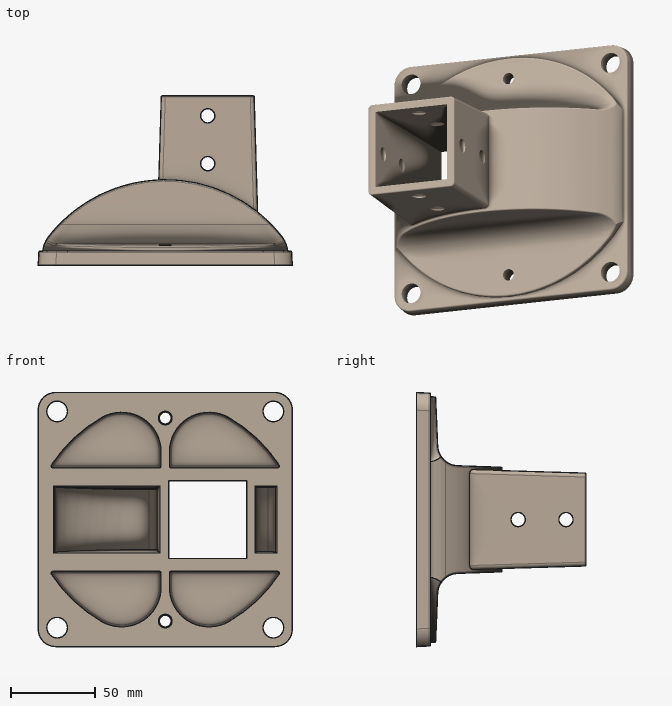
import cadquery as cq
import math

PLATE_SIZE = 150.0
PLATE_THICKNESS = 8.4
PLATE_CORNER_RADIUS = 10.5
PLATE_DRAFT = 3.0
PLATE_EDGE_RADIUS = 0.9
SCREW_HOLE_DIAMETER = 12.0
SCREW_HOLE_OFFSET = 63.8
PIN_HOLE_DIAMETER = 8.1
PIN_HOLE_DRAFT = 3.0
PIN_HOLE_OFFSET = 59.8

PAD_HALF_SIZE = 72.5
PAD_EDGE_HEIGHT = 11.4
PAD_SLOPE = 2.4
DOME_HEIGHT = 50.5
DOME_RADIUS = 87.3
DOME_HALF_WIDTH = 30.9
DOME_DRAFT = 2.0
DOME_ROOT_RADIUS = 12.0
DOME_END_RADIUS = 18.0
BODY_EDGE_RADIUS = 0.9

TUBE_CENTER_X = 25.0
TUBE_END = 100.0
TUBE_END_SIZE = 54.9
TUBE_DRAFT = 1.7
TUBE_CORNER_RADIUS = 2.4
TUBE_END_EDGE_RADIUS = 0.8
TUBE_BORE_SIZE = 45.8
CROSS_HOLE_DIAMETER = 8.2
CROSS_HOLE_POSITIONS = (60.0, 88.2)

HOLLOW_HALF_WIDTH = 19.8
HOLLOW_END_X = 65.8
LEFT_HOLLOW_INNER_X = -3.0
RIGHT_HOLLOW_INNER_X = 52.8
HOLLOW_DRAFT = 2.7
HOLLOW_FLOOR_RADIUS = 4.0
DOME_SHELL = 3.8

POCKET_DEPTH = 6.3
POCKET_INNER_X = 2.4
POCKET_BASE_Z = 30.5
POCKET_LOBE_RADIUS = 23.4
POCKET_LOBE_Z = 39.9
POCKET_SWEEP_RADIUS = 88.5
POCKET_SWEEP_ANGLE = 60.0
POCKET_DRAFT = 3.0
POCKET_CORNER_RADIUS = 1.2
POCKET_FLOOR_RADIUS = 0.9

DOME_AXIS_Y = DOME_HEIGHT - DOME_RADIUS


def polar(center, radius, degrees):
    """Point at the given radius and angle around a centre."""
    angle = math.radians(degrees)
    return center[0] + radius * math.cos(angle), center[1] + radius * math.sin(angle)


def facing_back(x=0.0):
    """Work plane on the front face, extruding to +Y; local axes are -X and Z."""
    return cq.Workplane(cq.Plane(origin=(x, 0, 0), xDir=(-1, 0, 0), normal=(0, 1, 0)))


def dome_cylinder(radius):
    """Solid cylinder along Z whose upper side is the dome arch."""
    return (cq.Workplane("XY", origin=(0, DOME_AXIS_Y, -PLATE_SIZE / 2))
            .circle(radius).extrude(PLATE_SIZE))


def make_plate():
    return (facing_back().rect(PLATE_SIZE, PLATE_SIZE)
            .extrude(PLATE_THICKNESS, taper=PLATE_DRAFT)
            .edges("(not #Y) and (not |X) and (not |Z)").fillet(PLATE_CORNER_RADIUS)
            .faces(">Y").edges().fillet(PLATE_EDGE_RADIUS))


def make_body():
    """Pad and dome: a swept cross-section trimmed by the arch and by the pad outline."""
    wall_slope = math.tan(math.radians(DOME_DRAFT))
    pad_slope = math.tan(math.radians(PAD_SLOPE))
    pad_height_at_center = PAD_EDGE_HEIGHT + PAD_HALF_SIZE * pad_slope
    root_z = ((DOME_HALF_WIDTH + wall_slope * (DOME_HEIGHT - pad_height_at_center))
              / (1 - wall_slope * pad_slope))
    root_y = pad_height_at_center - root_z * pad_slope
    half_section = [(0, PAD_HALF_SIZE), (PAD_EDGE_HEIGHT, PAD_HALF_SIZE), (root_y, root_z),
                    (DOME_HEIGHT, DOME_HALF_WIDTH)]
    section = half_section + [(y, -z) for y, z in reversed(half_section)]
    swept = (cq.Workplane("YZ", origin=(-PLATE_SIZE / 2, 0, 0)).polyline(section).close()
             .extrude(PLATE_SIZE))
    for side in (1, -1):
        swept = (swept.edges(cq.selectors.NearestToPointSelector((0, root_y, side * root_z)))
                 .fillet(DOME_ROOT_RADIUS))

    rim_end_z = PAD_HALF_SIZE - DOME_RADIUS + math.sqrt(DOME_RADIUS ** 2 - PAD_HALF_SIZE ** 2)
    outline = (facing_back().moveTo(-PAD_HALF_SIZE, rim_end_z)
               .threePointArc((0, PAD_HALF_SIZE), (PAD_HALF_SIZE, rim_end_z))
               .lineTo(PAD_HALF_SIZE, -rim_end_z)
               .threePointArc((0, -PAD_HALF_SIZE), (-PAD_HALF_SIZE, -rim_end_z))
               .close().extrude(DOME_HEIGHT))

    arch = (cq.Workplane("XY", origin=(0, 0, -PLATE_SIZE / 2))
            .rect(2 * PAD_HALF_SIZE, 2 * DOME_HEIGHT).extrude(PLATE_SIZE)
            .intersect(dome_cylinder(DOME_RADIUS)))
    end_y = DOME_AXIS_Y + math.sqrt(DOME_RADIUS ** 2 - PAD_HALF_SIZE ** 2)
    for end_x in (-PAD_HALF_SIZE, PAD_HALF_SIZE):
        arch = (arch.edges(cq.selectors.NearestToPointSelector((end_x, end_y, 0)))
                .fillet(DOME_END_RADIUS))

    body = swept.intersect(arch).intersect(outline)
    return body.edges("%ELLIPSE").fillet(BODY_EDGE_RADIUS)


def make_tube():
    """Drafted square tube, running from the front face to its open end."""
    base_size = TUBE_END_SIZE + 2 * TUBE_END * math.tan(math.radians(TUBE_DRAFT))
    return (facing_back(x=TUBE_CENTER_X).rect(base_size, base_size)
            .extrude(TUBE_END, taper=TUBE_DRAFT)
            .edges("(not #Y) and (not |X) and (not |Z)").fillet(TUBE_CORNER_RADIUS)
            .faces(">Y").edges().fillet(TUBE_END_EDGE_RADIUS))


def make_hollow(left_x, right_x, socket_x):
    """Drafted hollow under the dome, rounded where its floor meets the wall at socket_x."""
    hollow = (facing_back(x=(left_x + right_x) / 2)
              .rect(right_x - left_x, 2 * HOLLOW_HALF_WIDTH)
              .extrude(DOME_HEIGHT, taper=HOLLOW_DRAFT)
              .intersect(dome_cylinder(DOME_RADIUS - DOME_SHELL)))
    floor_y = DOME_AXIS_Y + math.sqrt((DOME_RADIUS - DOME_SHELL) ** 2 - socket_x ** 2)
    return (hollow.edges(cq.selectors.NearestToPointSelector((socket_x, floor_y, 0)))
            .fillet(HOLLOW_FLOOR_RADIUS))


def make_pocket():
    """Fin-shaped pocket in the +X, +Z quarter: a round lobe running out along a wide arc."""
    lobe = (POCKET_INNER_X + POCKET_LOBE_RADIUS, POCKET_LOBE_Z)
    sweep = polar(lobe, POCKET_LOBE_RADIUS - POCKET_SWEEP_RADIUS, POCKET_SWEEP_ANGLE)
    tip_angle = math.degrees(math.asin((POCKET_BASE_Z - sweep[1]) / POCKET_SWEEP_RADIUS))
    tip = polar(sweep, POCKET_SWEEP_RADIUS, tip_angle)
    lobe_middle = polar(lobe, POCKET_LOBE_RADIUS, (180 + POCKET_SWEEP_ANGLE) / 2)
    lobe_end = polar(lobe, POCKET_LOBE_RADIUS, POCKET_SWEEP_ANGLE)
    sweep_middle = polar(sweep, POCKET_SWEEP_RADIUS, (POCKET_SWEEP_ANGLE + tip_angle) / 2)
    outline = (cq.Workplane("XZ").moveTo(POCKET_INNER_X, POCKET_BASE_Z)
               .lineTo(POCKET_INNER_X, POCKET_LOBE_Z)
               .threePointArc(lobe_middle, lobe_end)
               .threePointArc(sweep_middle, tip)
               .close())
    pocket = outline.extrude(-POCKET_DEPTH, taper=POCKET_DRAFT)
    for corner in ((POCKET_INNER_X, POCKET_BASE_Z), tip):
        corner_point = (corner[0], POCKET_DEPTH / 2, corner[1])
        pocket = (pocket.edges("not #Y").edges(cq.selectors.NearestToPointSelector(corner_point))
                  .fillet(POCKET_CORNER_RADIUS))
    return pocket.faces(">Y").edges().fillet(POCKET_FLOOR_RADIUS)


def make_flange_holes():
    """Four straight screw holes at the corners and two drafted pin holes on the Z axis."""
    screw_holes = (facing_back()
                   .rect(2 * SCREW_HOLE_OFFSET, 2 * SCREW_HOLE_OFFSET, forConstruction=True)
                   .vertices().circle(SCREW_HOLE_DIAMETER / 2).extrude(TUBE_END))
    pin_holes = (facing_back().pushPoints([(0, PIN_HOLE_OFFSET), (0, -PIN_HOLE_OFFSET)])
                 .circle(PIN_HOLE_DIAMETER / 2).extrude(DOME_HEIGHT / 2, taper=PIN_HOLE_DRAFT))
    return screw_holes.union(pin_holes)


def make_socket():
    """Square bore through the whole part and the cross holes that pierce the tube both ways."""
    socket = facing_back(x=TUBE_CENTER_X).rect(TUBE_BORE_SIZE, TUBE_BORE_SIZE).extrude(TUBE_END)
    for y in CROSS_HOLE_POSITIONS:
        for plane in ("XY", "YZ"):
            cross_hole = (cq.Workplane(plane, origin=(TUBE_CENTER_X, y, 0))
                          .circle(CROSS_HOLE_DIAMETER / 2).extrude(TUBE_END_SIZE, both=True))
            socket = socket.union(cross_hole)
    return socket


result = make_plate().union(make_body()).union(make_tube())
result = result.cut(make_flange_holes()).cut(make_socket())
result = result.cut(make_hollow(-HOLLOW_END_X, LEFT_HOLLOW_INNER_X, LEFT_HOLLOW_INNER_X))
result = result.cut(make_hollow(RIGHT_HOLLOW_INNER_X, HOLLOW_END_X, RIGHT_HOLLOW_INNER_X))

pocket = make_pocket()
upper_pockets = pocket.union(pocket.mirror("YZ"))
result = result.cut(upper_pockets).cut(upper_pockets.mirror("XY"))